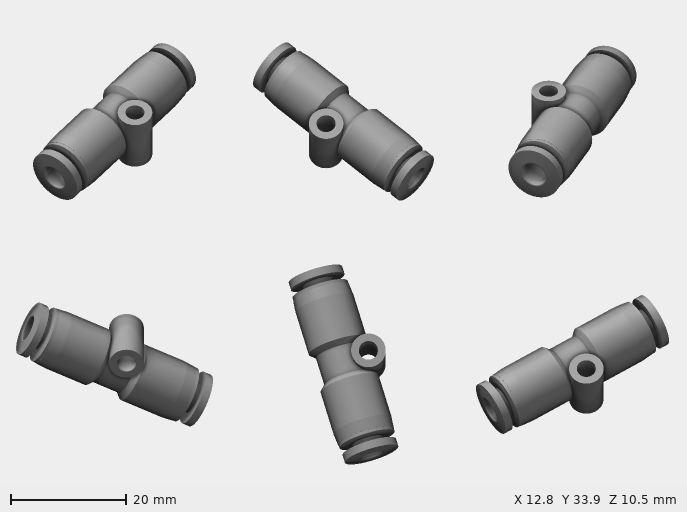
import cadquery as cq

total_length = 33.9
end_y = total_length / 2
flange_face_rise = 0.25
flange_length = 1.65
sleeve_end_y = 14.15
sleeve_face_rise = 0.2
crown_end_y = 13.35
barrel_end_y = 11.3
shoulder_y = 3.5
waist_y = 2.5
bore_floor_y = shoulder_y

flange_r = 9.7 / 2
flange_face_r = 5.05 / 2
neck_r = 5.6 / 2
sleeve_flat_r = 8.0 / 2
sleeve_rim_r = 10.0 / 2
crown_end_r = 10.1 / 2
crown_mid_r = 10.35 / 2
barrel_r = 10.5 / 2
waist_r = barrel_r - (shoulder_y - waist_y)
tube_bore_r = 4.3 / 2
passage_r = 3.4 / 2

mouth_r = 4.8 / 2
mouth_round = mouth_r - tube_bore_r

eye_r = 6.0 / 2
eye_hole_r = 3.3 / 2
eye_x = 4.5
eye_height = 2 * barrel_r


def make_half():
    """Revolve the +Y half of the hollow fitting about the Y axis."""
    crown_mid_y = (crown_end_y + barrel_end_y) / 2
    profile = (
        cq.Workplane("XY")
        .moveTo(passage_r, 0)
        .lineTo(waist_r, 0)
        .lineTo(waist_r, waist_y)
        .lineTo(barrel_r, shoulder_y)
        .lineTo(barrel_r, barrel_end_y)
        .threePointArc((crown_mid_r, crown_mid_y), (crown_end_r, crown_end_y))
        .lineTo(sleeve_rim_r, crown_end_y)
        .lineTo(sleeve_rim_r, sleeve_end_y - sleeve_face_rise)
        .lineTo(sleeve_flat_r, sleeve_end_y)
        .lineTo(neck_r, sleeve_end_y)
        .lineTo(neck_r, end_y - flange_length)
        .lineTo(flange_r, end_y - flange_length)
        .lineTo(flange_r, end_y - flange_face_rise)
        .lineTo(flange_face_r, end_y)
        .lineTo(mouth_r, end_y)
        .radiusArc((tube_bore_r, end_y - mouth_round), -mouth_round)
        .lineTo(tube_bore_r, bore_floor_y)
        .lineTo(passage_r, bore_floor_y)
        .close()
    )
    solid = profile.revolve(360, (0, 0, 0), (0, 1, 0))
    return solid.rotate((0, 0, 0), (0, 1, 0), 180)


def eye_cylinder(radius):
    """Upright cylinder on the axis of the mounting eye."""
    base = cq.Workplane("XY", origin=(eye_x, 0, -eye_height / 2))
    return base.circle(radius).extrude(eye_height)


half = make_half()
body = half.union(half.mirror("XZ"))

result = body.union(eye_cylinder(eye_r)).cut(eye_cylinder(eye_hole_r))